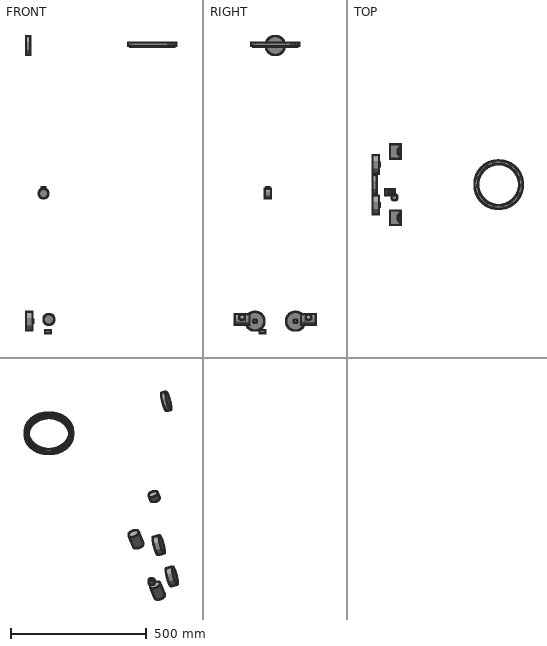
import cadquery as cq
import math

LENGTH_X = 554.0
LENGTH_Y = 299.0
LENGTH_Z = 1095.0
LEFT = -LENGTH_X / 2
TOP = LENGTH_Z / 2
BOTTOM = -LENGTH_Z / 2

STUD_DIAMETER = 14.0

RING_OUTER_DIAMETER = 180.0
RING_FOOT_DIAMETER = 163.0
RING_INNER_DIAMETER = 150.0
RING_HEIGHT = 16.0
RING_FOOT_HEIGHT = 3.0
RING_X = LENGTH_X / 2 - RING_OUTER_DIAMETER / 2
RING_BOTTOM = 507.0

DISC_DIAMETER = 71.0
DISC_THICKNESS = 16.0

WHEEL_DIAMETER = 70.0
WHEEL_THICKNESS = 24.0
WHEEL_STUD_LENGTH = 3.0
WHEEL_Y = 74.0
WHEEL_Z = -502.0

ROLLER_DIAMETER = 40.0
ROLLER_LENGTH = 55.0
ROLLER_X = -193.0
ROLLER_Z = -496.0
ROLLER_Y = LENGTH_Y / 2 - ROLLER_LENGTH / 2
ROLLER_HOLE_DIAMETER = 23.0
ROLLER_HOLE_DEPTH = 4.0
ROLLER_HOLE_ANGLE = 30.0

KNOB_DIAMETER = 36.0
KNOB_LENGTH = 24.0
KNOB_STUD_HEIGHT = 5.0
KNOB_X = -212.0
KNOB_Y = -27.0
KNOB_Z = -33.0

BUTTON_DIAMETER = 23.0
BUTTON_HEIGHT = 13.0
BUTTON_X = -196.0
BUTTON_Y = -47.0


def cylinder(diameter, length, start, direction):
    """Solid cylinder that runs from start along direction."""
    return cq.Workplane(cq.Solid.makeCylinder(diameter / 2, length, cq.Vector(*start), cq.Vector(*direction)))


def make_ring():
    body = cylinder(
        RING_OUTER_DIAMETER, RING_HEIGHT - RING_FOOT_HEIGHT, (RING_X, 0, RING_BOTTOM + RING_FOOT_HEIGHT), (0, 0, 1)
    )
    foot = cylinder(RING_FOOT_DIAMETER, RING_FOOT_HEIGHT, (RING_X, 0, RING_BOTTOM), (0, 0, 1))
    bore = cylinder(RING_INNER_DIAMETER, RING_HEIGHT, (RING_X, 0, RING_BOTTOM), (0, 0, 1))
    return body.union(foot).cut(bore)


def make_disc():
    return cylinder(DISC_DIAMETER, DISC_THICKNESS, (LEFT, 0, TOP - DISC_DIAMETER / 2), (1, 0, 0))


def make_wheel(y):
    wheel = cylinder(WHEEL_DIAMETER, WHEEL_THICKNESS, (LEFT, y, WHEEL_Z), (1, 0, 0))
    stud = cylinder(STUD_DIAMETER, WHEEL_THICKNESS + WHEEL_STUD_LENGTH, (LEFT, y, WHEEL_Z), (1, 0, 0))
    return wheel.union(stud)


def make_roller(y):
    roller = cylinder(ROLLER_DIAMETER, ROLLER_LENGTH, (ROLLER_X, y - ROLLER_LENGTH / 2, ROLLER_Z), (0, 1, 0))
    angle = math.radians(ROLLER_HOLE_ANGLE)
    outward = (math.cos(angle), 0, math.sin(angle))
    floor = ROLLER_DIAMETER / 2 - ROLLER_HOLE_DEPTH
    start = (ROLLER_X + floor * outward[0], y, ROLLER_Z + floor * outward[2])
    return roller.cut(cylinder(ROLLER_HOLE_DIAMETER, ROLLER_DIAMETER, start, outward))


def make_knob():
    knob = cylinder(KNOB_DIAMETER, KNOB_LENGTH, (KNOB_X, KNOB_Y - KNOB_LENGTH / 2, KNOB_Z), (0, 1, 0))
    stud_length = KNOB_DIAMETER / 2 + KNOB_STUD_HEIGHT
    stud = cylinder(STUD_DIAMETER, stud_length, (KNOB_X, KNOB_Y, KNOB_Z), (0, 0, 1))
    return knob.union(stud)


def make_button():
    return cylinder(BUTTON_DIAMETER, BUTTON_HEIGHT, (BUTTON_X, BUTTON_Y, BOTTOM), (0, 0, 1))


ring = make_ring()
disc = make_disc()
wheels = [make_wheel(side * WHEEL_Y) for side in (-1, 1)]
rollers = [make_roller(side * ROLLER_Y) for side in (-1, 1)]
knob = make_knob()
button = make_button()

bodies = [ring, disc, *wheels, *rollers, knob, button]
result = cq.Compound.makeCompound([body.val() for body in bodies])